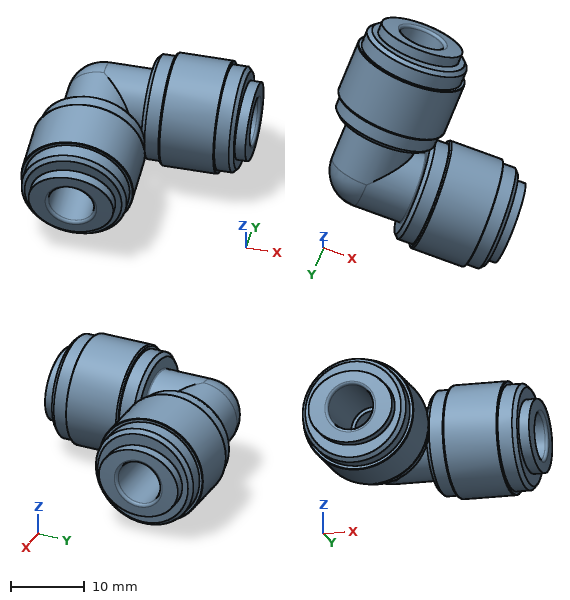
import cadquery as cq

overall_size = 28.75
ring_radius = 7.75
reach = overall_size - ring_radius

neck_radius = 5.0
neck_fillet = 0.12
collar_radius = 7.22
cap_radius = 7.27
collet_half_width = 5.86
collet_half_height = neck_radius
passage_radius = 2.65
tube_socket_radius = 3.15
mouth_fillet = 0.4

collar_start = 6.67
ring_start = 9.2
ring_end = 16.9
cap_end = 19.44
socket_bottom = ring_start

collar_chamfer = 0.55
ring_chamfer_length = 0.23
ring_chamfer_depth = 0.17
cap_chamfer = 0.55
ring_end_chamfer = 0.1
collet_face_fall = 0.12


def port_body():
    """Neck, collar, ring and cap turned about the X axis."""
    profile = (
        cq.Workplane("XY")
        .moveTo(0, 0)
        .lineTo(0, neck_radius)
        .lineTo(collar_start - neck_fillet, neck_radius)
        .radiusArc((collar_start, neck_radius + neck_fillet), -neck_fillet)
        .lineTo(collar_start, collar_radius - collar_chamfer)
        .lineTo(collar_start + collar_chamfer, collar_radius)
        .lineTo(ring_start, collar_radius)
        .lineTo(ring_start, ring_radius - ring_chamfer_depth)
        .lineTo(ring_start + ring_chamfer_length, ring_radius)
        .lineTo(ring_end - ring_end_chamfer, ring_radius)
        .lineTo(ring_end, ring_radius - ring_end_chamfer)
        .lineTo(ring_end, cap_radius)
        .lineTo(cap_end - cap_chamfer, cap_radius)
        .lineTo(cap_end, cap_radius - cap_chamfer)
        .lineTo(cap_end, 0)
        .close()
    )
    return profile.revolve(360, (0, 0, 0), (1, 0, 0))


def collet():
    """Elliptical release collet, wider in the elbow plane, its face falling slightly outwards."""
    blank = (
        cq.Workplane("YZ")
        .workplane(offset=cap_end)
        .ellipse(collet_half_width, collet_half_height)
        .extrude(reach - cap_end)
    )
    coned_envelope = (
        cq.Workplane("XY")
        .moveTo(0, 0)
        .lineTo(0, collet_half_width)
        .lineTo(reach - collet_face_fall, collet_half_width)
        .lineTo(reach, tube_socket_radius + mouth_fillet)
        .lineTo(reach, 0)
        .close()
        .revolve(360, (0, 0, 0), (1, 0, 0))
    )
    return blank.intersect(coned_envelope)


def port_bore():
    """Flow passage, stepped tube socket and rounded mouth, turned about the X axis."""
    profile = (
        cq.Workplane("XY")
        .moveTo(0, 0)
        .lineTo(0, passage_radius)
        .lineTo(socket_bottom, passage_radius)
        .lineTo(socket_bottom, tube_socket_radius)
        .lineTo(reach - mouth_fillet, tube_socket_radius)
        .radiusArc((reach, tube_socket_radius + mouth_fillet), -mouth_fillet)
        .lineTo(reach, 0)
        .close()
    )
    return profile.revolve(360, (0, 0, 0), (1, 0, 0))


def with_second_port(shape):
    """Join a +X port shape with its copy turned to point along -Y."""
    return shape.union(shape.rotate((0, 0, 0), (0, 0, 1), -90))


outside = with_second_port(port_body().union(collet())).union(cq.Workplane("XY").sphere(neck_radius))
inside = with_second_port(port_bore()).union(cq.Workplane("XY").sphere(passage_radius))

result = outside.cut(inside)